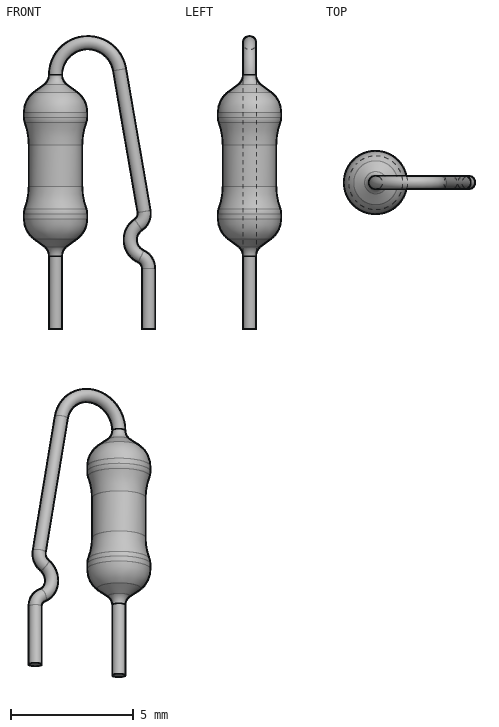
import cadquery as cq
import math

total_height = 11.98
wire_diameter = 0.55
wire_radius = wire_diameter / 2

waist_radius = 2.2 / 2
bulge_radius = 2.6 / 2
waist_half_length = 0.85
flare_end = 1.76
bulge_start = 1.96
bulge_end = 2.18
shoulder_end = 3.0
cone_end = 3.32
body_half_length = 3.7
shoulder_radius = 0.9
neck_radius = 0.45
flare_angle = math.radians(19.4)

hairpin_radius = 1.32
hairpin_tilt = 9.8
long_leg_length = 5.88
kink_outer_radius = 0.55
kink_middle_radius = 0.74
kink_upper_angle = 56.0
kink_lower_angle = 65.0

body_top = total_height - wire_radius - hairpin_radius
body_middle = body_top - body_half_length
body_bottom = body_middle - body_half_length


def blend_point(start, end, angle):
    """Middle point of an arc that leaves start parallel to the axis and turns by angle to reach end."""
    radius = abs(end[1] - start[1]) / math.sin(angle)
    radial_sign = math.copysign(1, end[0] - start[0])
    axial_sign = math.copysign(1, end[1] - start[1])
    return (
        start[0] + radial_sign * radius * (1 - math.cos(angle / 2)),
        start[1] + axial_sign * radius * math.sin(angle / 2),
    )


def tangent_angle(start, end):
    """Turn of an arc that leaves start parallel to the axis and passes through end."""
    return 2 * math.atan2(abs(end[0] - start[0]), abs(end[1] - start[1]))


def make_body():
    """One revolved solid: a waist with a flare, bulge, rounded shoulder, cone and neck on each side."""
    waist = (waist_radius, waist_half_length)
    bulge_low = (bulge_radius, bulge_start)
    bulge_high = (bulge_radius, bulge_end)
    shoulder = (shoulder_radius, shoulder_end)
    cone_tip = (neck_radius, cone_end)
    neck = (wire_radius, body_half_length)

    rounding_radius = (bulge_start - flare_end) / math.sin(flare_angle)
    flare = (bulge_radius - rounding_radius * (1 - math.cos(flare_angle)), flare_end)

    flare_middle = blend_point(waist, flare, tangent_angle(waist, flare))
    rounding_middle = blend_point(bulge_low, flare, flare_angle)
    shoulder_middle = blend_point(bulge_high, shoulder, tangent_angle(bulge_high, shoulder))
    neck_middle = blend_point(neck, cone_tip, tangent_angle(neck, cone_tip))

    def mirrored(point):
        return (point[0], -point[1])

    return (
        cq.Workplane("XZ", origin=(0, 0, body_middle))
        .moveTo(0, -body_half_length)
        .lineTo(*mirrored(neck))
        .threePointArc(mirrored(neck_middle), mirrored(cone_tip))
        .lineTo(*mirrored(shoulder))
        .threePointArc(mirrored(shoulder_middle), mirrored(bulge_high))
        .lineTo(*mirrored(bulge_low))
        .threePointArc(mirrored(rounding_middle), mirrored(flare))
        .threePointArc(mirrored(flare_middle), mirrored(waist))
        .lineTo(*waist)
        .threePointArc(flare_middle, flare)
        .threePointArc(rounding_middle, bulge_low)
        .lineTo(*bulge_high)
        .threePointArc(shoulder_middle, shoulder)
        .lineTo(*cone_tip)
        .threePointArc(neck_middle, neck)
        .lineTo(0, body_half_length)
        .close()
        .revolve(360, (0, 0, 0), (0, 1, 0))
    )


def make_straight_lead():
    return cq.Workplane("XY").circle(wire_radius).extrude(body_bottom)


def add_bend(path, start, radius, start_angle, end_angle):
    """Continue path with an arc between two polar angles in degrees; return the path and its end."""
    first = math.radians(start_angle)
    last = math.radians(end_angle)
    middle = (first + last) / 2
    center_x = start[0] - radius * math.cos(first)
    center_z = start[1] - radius * math.sin(first)

    def on_arc(angle):
        return (center_x + radius * math.cos(angle), center_z + radius * math.sin(angle))

    end = on_arc(last)
    return path.threePointArc(on_arc(middle), end), end


def make_formed_lead():
    """Lead that turns over the body, slopes down and ends in a kink above its straight foot."""
    start = (0, body_top)
    path = cq.Workplane("XZ").moveTo(*start)
    path, hairpin_end = add_bend(path, start, hairpin_radius, 180, hairpin_tilt)

    tilt = math.radians(hairpin_tilt)
    leg_end = (
        hairpin_end[0] + long_leg_length * math.sin(tilt),
        hairpin_end[1] - long_leg_length * math.cos(tilt),
    )
    path = path.lineTo(*leg_end)

    path, kink_point = add_bend(path, leg_end, kink_outer_radius, hairpin_tilt, -kink_upper_angle)
    path, kink_point = add_bend(
        path, kink_point, kink_middle_radius, 180 - kink_upper_angle, 180 + kink_lower_angle
    )
    path, foot_top = add_bend(path, kink_point, kink_outer_radius, kink_lower_angle, 0)
    path = path.lineTo(foot_top[0], 0)

    return cq.Workplane("XY").workplane(offset=body_top).circle(wire_radius).sweep(path)


body = make_body()
straight_lead = make_straight_lead()
formed_lead = make_formed_lead()

result = cq.Compound.makeCompound([body.val(), straight_lead.val(), formed_lead.val()])